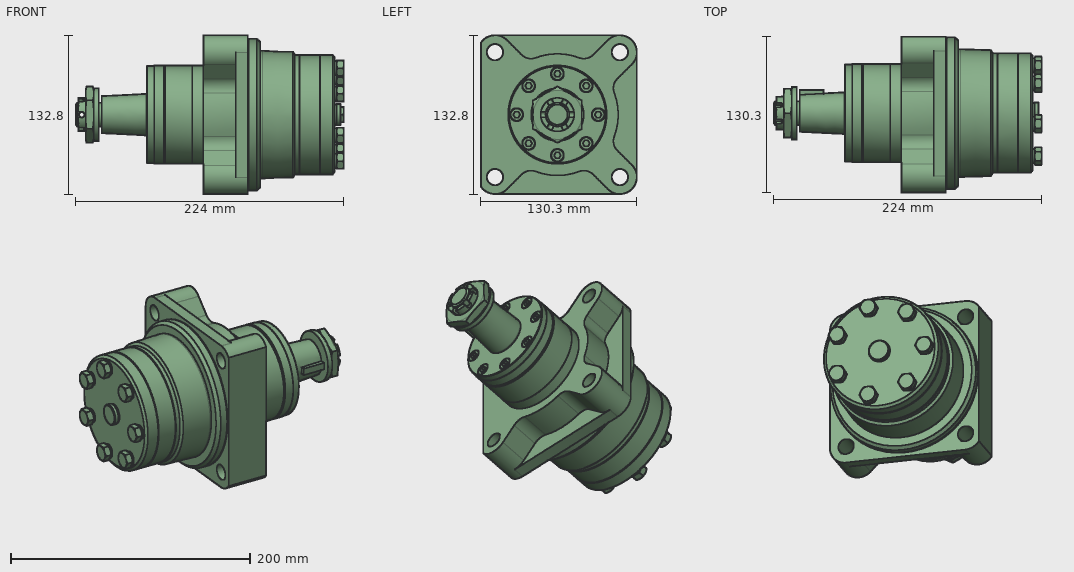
import cadquery as cq
import math


nut_crown_x = 2.0
nut_hex_x = 8.0
nut_collar_x = 15.0
nut_end_x = 19.3
taper_start_x = 21.5
taper_end_x = 58.0
housing_face_x = 59.3
cover_end_x = 65.4
front_groove_x = 73.2
shoulder_x = 97.5
flange_front_x = 106.5
flange_plate_x = 133.5
flange_back_x = 143.7
rim_bevel_x = 151.1
rim_end_x = 154.0
cone_start_x = 155.5
cone_end_x = 181.4
rear_start_x = 183.0
rear_groove_xs = (186.7, 203.7)
rear_bevel_x = 214.5
rear_face_x = 216.3
bolt_hex_x = 217.9
motor_end_x = 224.0

thread_dia = 20.0
tip_dia = 16.8
tip_bevel_length = 1.1
shaft_dia = 35.0
taper_ratio = 0.1
taper_small_dia = shaft_dia - taper_ratio * (taper_end_x - taper_start_x)
cotter_dia = 4.5
cotter_x = 5.0

cover_dia = 81.5
barrel_dia = 82.2
shoulder_dia = 82.5
cover_bevel = 0.5
front_groove_width = 1.3
groove_depth = 0.5
cut_margin = 2.2

cover_screw_count = 8
cover_screw_circle_radius = 34.0
screw_recess_dia = 11.0
screw_head_dia = 10.0
screw_recess_depth = 6.0
screw_socket_flats = 5.0
screw_socket_depth = 3.0

flange_side = 132.8
flange_half = flange_side / 2
flange_width = 130.3
flange_flat_y = flange_width - flange_half
hole_dia = 13.5
hole_offset = 52.2
ear_radius = flange_half - hole_offset
ear_flank_angle = 135
ear_corner_angle = 45
boss_radius = 50.8
scallop_fillet = 11.0

rim_dia = 127.0
rim_neck_dia = 125.4
rim_neck_length = 0.7
rim_end_dia = 121.5
cone_large_dia = 107.0
cone_small_dia = 105.5
rear_dia = 100.0
rear_end_dia = 95.0
rear_groove_width = 0.5

bolt_count = 7
bolt_circle_radius = 39.9
bolt_flats = 13.0
bolt_collar_dia = 12.0
bolt_bevel = 0.7
plug_dia = 18.0
plug_neck_dia = 16.8
plug_end_x = 221.5
plug_bevel = 0.7

nut_flats = 41.0
nut_crown_dia = 28.0
nut_collar_dia = 44.0
nut_bevel = 1.0
nut_slot_count = 6
nut_slot_width = cotter_dia

key_length = 20.2
key_width = 6.0
key_height = 6.0
key_top_y = 19.5


def yz_plane(x):
    """Sketch plane across the axis at x, with local axes Y and Z."""
    return cq.Workplane("YZ", origin=(x, 0, 0))


def disc(dia, start_x, end_x):
    return yz_plane(start_x).circle(dia / 2).extrude(end_x - start_x)


def turned(steps):
    """Solid of revolution about X from (x, diameter) points listed along the axis."""
    profile = [(steps[0][0], 0)]
    profile += [(x, dia / 2) for x, dia in steps]
    profile += [(steps[-1][0], 0)]
    return cq.Workplane("XY").polyline(profile).close().revolve(360, (0, 0, 0), (1, 0, 0))


def hex_prism(flats, start_x, end_x, corner_on_y):
    """Hexagonal prism along X, with two of its corners on Y or else on Z."""
    prism = yz_plane(start_x).polygon(6, flats / math.cos(math.pi / 6)).extrude(end_x - start_x)
    return prism if corner_on_y else prism.rotate((0, 0, 0), (1, 0, 0), 30)


def bevelled_hex(flats, start_x, end_x, bevel, corner_on_y):
    """Hexagonal head whose corners are turned down to the flats at both ends."""
    corner_dia = flats / math.cos(math.pi / 6)
    envelope = turned([
        (start_x, flats),
        (start_x + bevel, corner_dia),
        (end_x - bevel, corner_dia),
        (end_x, flats),
    ])
    return hex_prism(flats, start_x, end_x, corner_on_y).intersect(envelope)


def ring_groove(outer_dia, start_x, width):
    """Ring to cut from a cylinder of the given diameter."""
    ring = disc(outer_dia + 2 * cut_margin, start_x, start_x + width)
    return ring.cut(disc(outer_dia - 2 * groove_depth, start_x, start_x + width))


def shaft():
    return turned([
        (0, tip_dia),
        (tip_bevel_length, thread_dia),
        (taper_start_x, thread_dia),
        (taper_start_x, taper_small_dia),
        (taper_end_x, shaft_dia),
        (housing_face_x, shaft_dia),
    ])


def front_housing():
    housing = turned([
        (housing_face_x, cover_dia - 2 * cover_bevel),
        (housing_face_x + cover_bevel, cover_dia),
        (cover_end_x, cover_dia),
        (cover_end_x, barrel_dia),
        (shoulder_x, barrel_dia),
        (shoulder_x, shoulder_dia),
        (flange_front_x, shoulder_dia),
    ])
    return housing.cut(ring_groove(barrel_dia, front_groove_x, front_groove_width))


def cover_screw_gaps():
    """Ring gaps around the cover screw heads, and the hexagon sockets in them."""
    recess = disc(screw_recess_dia, housing_face_x, housing_face_x + screw_recess_depth)
    head = disc(screw_head_dia, housing_face_x, housing_face_x + screw_recess_depth)
    socket = hex_prism(screw_socket_flats, housing_face_x, housing_face_x + screw_socket_depth, True)
    gap = recess.cut(head).union(socket)
    gaps = cq.Workplane("XY")
    for i in range(cover_screw_count):
        angle = 2 * math.pi * i / cover_screw_count
        y = cover_screw_circle_radius * math.cos(angle)
        z = cover_screw_circle_radius * math.sin(angle)
        gaps = gaps.add(gap.translate((0, y, z)))
    return gaps.combine()


def quarter_turned(point, turns):
    """Point (y, z) turned about the axis by a number of quarter turns, from +Y towards +Z."""
    for _ in range(turns):
        point = (-point[1], point[0])
    return point


def mirrored(point):
    return (-point[0], point[1])


def on_ear(degrees):
    """Point of the ear at the +Y +Z corner, at an angle from +Y around its hole."""
    angle = math.radians(degrees)
    return (hole_offset + ear_radius * math.cos(angle), hole_offset + ear_radius * math.sin(angle))


def flat_edge_z():
    """Height at which the flat +Y side meets the round ears."""
    return hole_offset + math.sqrt(ear_radius**2 - (flange_flat_y - hole_offset) ** 2)


def ear_flat_mid():
    """Point halfway along the ear arc between the flat side and the ear's 45 degree flank."""
    flat_angle = math.degrees(math.acos((flange_flat_y - hole_offset) / ear_radius))
    return on_ear((flat_angle + ear_flank_angle) / 2)


def scalloped_body():
    """Flange through its full thickness, flat on +Y and hollowed between the ears on its other sides."""
    diagonal = math.sqrt(0.5)
    flank_start = on_ear(ear_flank_angle)
    rise = flank_start[1] - flank_start[0] + scallop_fillet / diagonal
    reach = boss_radius + scallop_fillet
    fillet_y = (math.sqrt(2 * reach**2 - rise**2) - rise) / 2
    fillet_z = fillet_y + rise
    fillet_start = (fillet_y + scallop_fillet * diagonal, fillet_z - scallop_fillet * diagonal)
    fillet_mid = (fillet_y, fillet_z - scallop_fillet)
    fillet_end = (fillet_y * boss_radius / reach, fillet_z * boss_radius / reach)
    boss_top = (0, boss_radius)
    ear_corner = mirrored(on_ear(ear_corner_angle))

    flat_top = (flange_flat_y, flat_edge_z())
    flat_bottom = (flange_flat_y, -flat_edge_z())
    ear_flat_bottom = (ear_flat_mid()[0], -ear_flat_mid()[1])
    outline = yz_plane(flange_front_x).moveTo(*flat_top).threePointArc(ear_flat_mid(), flank_start)
    last_side = 2
    for side in range(last_side + 1):
        outline = (
            outline
            .lineTo(*quarter_turned(fillet_start, side))
            .threePointArc(quarter_turned(fillet_mid, side), quarter_turned(fillet_end, side))
            .threePointArc(quarter_turned(boss_top, side), quarter_turned(mirrored(fillet_end), side))
            .threePointArc(
                quarter_turned(mirrored(fillet_mid), side),
                quarter_turned(mirrored(fillet_start), side),
            )
            .lineTo(*quarter_turned(mirrored(flank_start), side))
        )
        if side < last_side:
            next_flank = quarter_turned(flank_start, side + 1)
            outline = outline.threePointArc(quarter_turned(ear_corner, side), next_flank)
    outline = outline.threePointArc(ear_flat_bottom, flat_bottom).close()
    return outline.extrude(flange_back_x - flange_front_x)


def flange_plate():
    """Back of the flange between the ears, filling the three hollows."""
    thickness = flange_back_x - flange_plate_x
    upright = yz_plane(flange_plate_x).rect(2 * hole_offset, flange_side).extrude(thickness)
    side = (
        yz_plane(flange_plate_x)
        .center(-flange_half / 2, 0)
        .rect(flange_half, 2 * hole_offset)
        .extrude(thickness)
    )
    return upright.union(side)


def flange():
    holes = (
        yz_plane(flange_front_x)
        .rect(2 * hole_offset, 2 * hole_offset, forConstruction=True)
        .vertices()
        .circle(hole_dia / 2)
        .extrude(flange_back_x - flange_front_x)
    )
    return scalloped_body().union(flange_plate()).cut(holes)


def rear_housing():
    housing = turned([
        (flange_back_x, rim_neck_dia),
        (flange_back_x + rim_neck_length, rim_neck_dia),
        (flange_back_x + rim_neck_length, rim_dia),
        (rim_bevel_x, rim_dia),
        (rim_end_x, rim_end_dia),
        (rim_end_x, cone_large_dia),
        (cone_start_x, cone_large_dia),
        (cone_end_x, cone_small_dia),
        (rear_start_x, rear_dia),
        (rear_bevel_x, rear_dia),
        (rear_face_x, rear_end_dia),
    ])
    for groove_x in rear_groove_xs:
        housing = housing.cut(ring_groove(rear_dia, groove_x, rear_groove_width))
    return housing


def rear_bolts():
    collar = disc(bolt_collar_dia, rear_face_x, bolt_hex_x)
    bolt = collar.union(bevelled_hex(bolt_flats, bolt_hex_x, motor_end_x, bolt_bevel, True))
    bolts = cq.Workplane("XY")
    for i in range(bolt_count):
        angle = 2 * math.pi * i / bolt_count
        y = bolt_circle_radius * math.cos(angle)
        z = bolt_circle_radius * math.sin(angle)
        bolts = bolts.add(bolt.translate((0, y, z)))
    return bolts.combine()


def plug():
    return turned([
        (rear_face_x, plug_neck_dia),
        (bolt_hex_x, plug_dia),
        (plug_end_x - plug_bevel, plug_dia),
        (plug_end_x, plug_dia - 2 * plug_bevel),
    ])


def cotter_hole():
    """Hole along Y through the threaded shaft tip, in line with two nut slots."""
    length = 2 * thread_dia
    return (
        cq.Workplane("XZ", origin=(cotter_x, length / 2, 0))
        .circle(cotter_dia / 2)
        .extrude(length)
    )


def make_key():
    key_block = cq.Workplane("XY").box(key_length, key_height, key_width, centered=(False, False, True))
    return key_block.translate((taper_start_x, key_top_y - key_height, 0))


def make_motor():
    motor = shaft().union(front_housing()).union(flange()).union(rear_housing())
    motor = motor.union(rear_bolts()).union(plug())
    return motor.cut(cover_screw_gaps()).cut(cotter_hole()).cut(make_key())


def nut_slot():
    """Round-bottomed slot through the crown on the +Y side."""
    reach = nut_crown_dia / 2 + cut_margin
    round_end = cq.Workplane("XZ", origin=(cotter_x, reach, 0)).circle(nut_slot_width / 2).extrude(reach)
    straight = cq.Workplane("XY").box(cotter_x, reach, nut_slot_width, centered=(False, False, True))
    return straight.union(round_end)


def make_nut():
    crown = disc(nut_crown_dia, nut_crown_x, nut_hex_x)
    for i in range(nut_slot_count):
        crown = crown.cut(nut_slot().rotate((0, 0, 0), (1, 0, 0), 360 * i / nut_slot_count))
    hexagon = bevelled_hex(nut_flats, nut_hex_x, nut_collar_x, nut_bevel, False)
    collar = disc(nut_collar_dia, nut_collar_x, nut_end_x)
    bore = disc(thread_dia, nut_crown_x, nut_end_x)
    return crown.union(hexagon).union(collar).cut(bore)


motor = make_motor()
nut = make_nut()
key = make_key()

result = cq.Compound.makeCompound([motor.val(), nut.val(), key.val()])